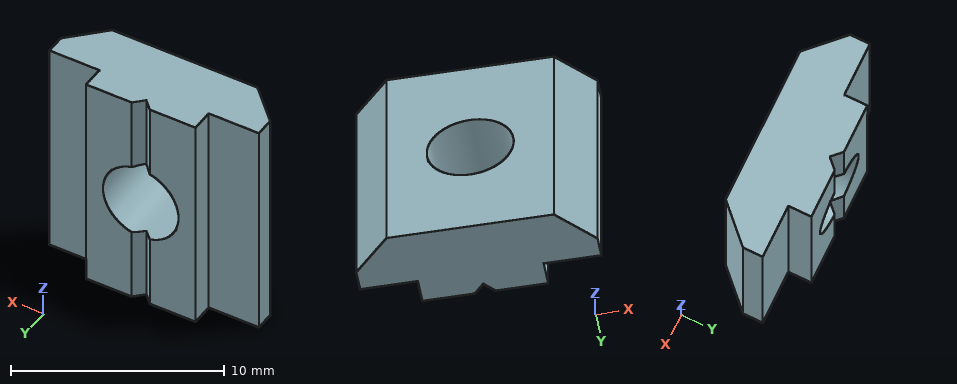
import cadquery as cq

width = 11.5
depth = 4.0
height = 12

rib_width = 6
rib_depth = 1.2
chamfer = 1.76
groove_width = 1.0
groove_depth = groove_width / 2

hole_diameter = 4.14

chamfer_end = chamfer
shoulder = depth - rib_depth
groove_bottom = depth - groove_depth


def nut_body():
    """Extrude the T-shaped profile, with its V groove, along Z."""
    right_half = [
        (width / 2 - chamfer, 0),
        (width / 2, chamfer_end),
        (width / 2, shoulder),
        (rib_width / 2, shoulder),
        (rib_width / 2, depth),
        (groove_width / 2, depth),
    ]
    left_half = [(-x, y) for x, y in reversed(right_half)]
    profile = right_half + [(0, groove_bottom)] + left_half
    return cq.Workplane("XY").polyline(profile).close().extrude(height)


def through_hole():
    """Cylinder along Y through the middle of the front face."""
    return (
        cq.Workplane("XZ")
        .center(0, height / 2)
        .circle(hole_diameter / 2)
        .extrude(-depth)
    )


result = nut_body().cut(through_hole())